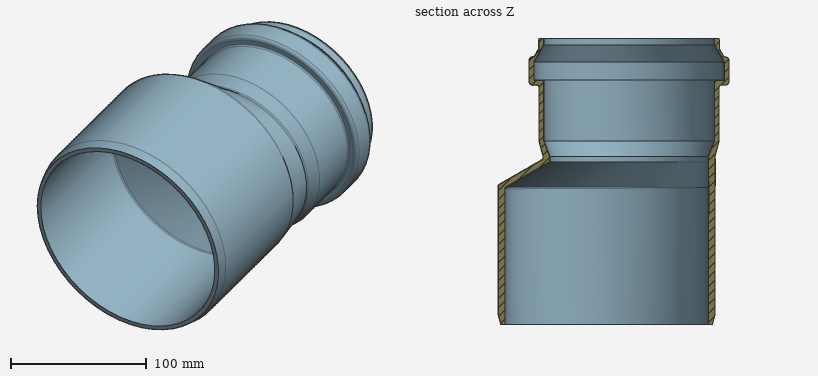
import cadquery as cq
import math


body_outer_d = 160.1
body_bore_d = 149.9
neck_outer_d = 127.1
neck_bore_d = 116.9
socket_outer_d = 133.2
socket_bore_d = 125.6
mouth_outer_d = 133.5
mouth_bore_d = 125.9
collar_outer_d = 147.8
groove_d = 140.2

total_length = 211.0
body_length = 103.0
taper_start_y = 124.1
collar_start_y = 176.4
collar_end_y = 197.5

transition_angle = 60.0
inner_slope_shift = 2.0
socket_taper_angle = 15.0
mouth_taper_angle = 30.0
lead_in_angle = 15.0
spigot_chamfer_length = 7.3
mouth_chamfer_length = 1.5
collar_edge_radius = 3.0
collar_base_radius = 1.2
collar_top_radius = 0.8
transition_edge_radius = 1.5

tangency_gap = 0.005
axis_offset = (body_outer_d - neck_outer_d) / 2 - tangency_gap
socket_wall = (socket_outer_d - socket_bore_d) / 2


def tan_deg(angle):
    return math.tan(math.radians(angle))


transition_length = (body_outer_d - neck_outer_d) / tan_deg(transition_angle)
neck_start_y = body_length + transition_length
inner_body_length = body_length - inner_slope_shift
inner_neck_start_y = neck_start_y - inner_slope_shift
taper_end_y = taper_start_y + (socket_outer_d - neck_outer_d) / 2 / tan_deg(socket_taper_angle)
collar_cone_d = groove_d
mouth_start_y = collar_end_y + (collar_cone_d - mouth_outer_d) / 2 / tan_deg(mouth_taper_angle)
groove_start_y = collar_start_y + socket_wall
groove_end_y = collar_end_y - socket_wall
inner_mouth_start_y = groove_end_y + (groove_d - mouth_bore_d) / 2 / tan_deg(mouth_taper_angle)


def revolved(stations, axis_x):
    """Solid of revolution about a Y-parallel axis from (diameter, y) stations.

    The outline lies on the -X side, which keeps seams away from the flush +X side.
    """
    first_y = stations[0][1]
    last_y = stations[-1][1]
    outline = [(axis_x, first_y)]
    outline += [(axis_x - diameter / 2, y) for diameter, y in stations]
    outline.append((axis_x, last_y))
    return cq.Workplane("XY").polyline(outline).close().revolve(360, (axis_x, 0), (axis_x, 1))


def slanted_transition(large_d, small_d, start_y, end_y):
    """Eccentric cone from the body axis to the neck axis, straight along its +X side."""
    def ring(diameter, axis_x, y):
        plane = cq.Plane(origin=(axis_x, y, 0), xDir=(-1, 0, 0), normal=(0, 1, 0))
        return cq.Workplane(plane).circle(diameter / 2).wire().val()

    rings = [ring(large_d, 0, start_y), ring(small_d, axis_offset, end_y)]
    return cq.Workplane(cq.Solid.makeLoft(rings, True))


match_tolerance = 0.01


def circle_edges(solid, diameter, y):
    """The circular edges of the given diameter lying at height y."""
    return solid.edges("%CIRCLE").filter(
        lambda edge: abs(edge.Center().y - y) < match_tolerance
        and abs(edge.radius() - diameter / 2) < match_tolerance
    )


def outer_socket():
    mouth_end_d = mouth_outer_d - 2 * mouth_chamfer_length * tan_deg(lead_in_angle)
    socket = revolved(
        [
            (neck_outer_d, neck_start_y),
            (neck_outer_d, taper_start_y),
            (socket_outer_d, taper_end_y),
            (socket_outer_d, collar_start_y),
            (collar_outer_d, collar_start_y),
            (collar_outer_d, collar_end_y),
            (collar_cone_d, collar_end_y),
            (mouth_outer_d, mouth_start_y),
            (mouth_outer_d, total_length - mouth_chamfer_length),
            (mouth_end_d, total_length),
        ],
        axis_offset,
    )
    for diameter, y, radius in [
        (collar_outer_d, collar_start_y, collar_edge_radius),
        (collar_outer_d, collar_end_y, collar_edge_radius),
        (socket_outer_d, collar_start_y, collar_base_radius),
        (collar_cone_d, collar_end_y, collar_top_radius),
    ]:
        socket = circle_edges(socket, diameter, y).fillet(radius)
    return socket


def outer_body():
    spigot_end_d = body_outer_d - 2 * spigot_chamfer_length * tan_deg(lead_in_angle)
    return revolved(
        [
            (spigot_end_d, 0),
            (body_outer_d, spigot_chamfer_length),
            (body_outer_d, body_length),
        ],
        0,
    )


def inner_socket():
    return revolved(
        [
            (neck_bore_d, inner_neck_start_y),
            (neck_bore_d, taper_start_y),
            (socket_bore_d, taper_end_y),
            (socket_bore_d, groove_start_y),
            (groove_d, groove_start_y),
            (groove_d, groove_end_y),
            (mouth_bore_d, inner_mouth_start_y),
            (mouth_bore_d, total_length),
        ],
        axis_offset,
    )


def inner_body():
    return revolved([(body_bore_d, 0), (body_bore_d, inner_body_length)], 0)


def joined(body, transition, socket, rounded_edges):
    """Body, transition and socket in one solid, with the listed transition edges rounded."""
    solid = body.union(transition).union(socket)
    for diameter, y in rounded_edges:
        solid = circle_edges(solid, diameter, y).fillet(transition_edge_radius)
    return solid


outside = joined(
    outer_body(),
    slanted_transition(body_outer_d, neck_outer_d, body_length, neck_start_y),
    outer_socket(),
    [(body_outer_d, body_length), (neck_outer_d, neck_start_y)],
)
inside = joined(
    inner_body(),
    slanted_transition(body_bore_d, neck_bore_d, inner_body_length, inner_neck_start_y),
    inner_socket(),
    [(body_bore_d, inner_body_length)],
)
result = outside.cut(inside)